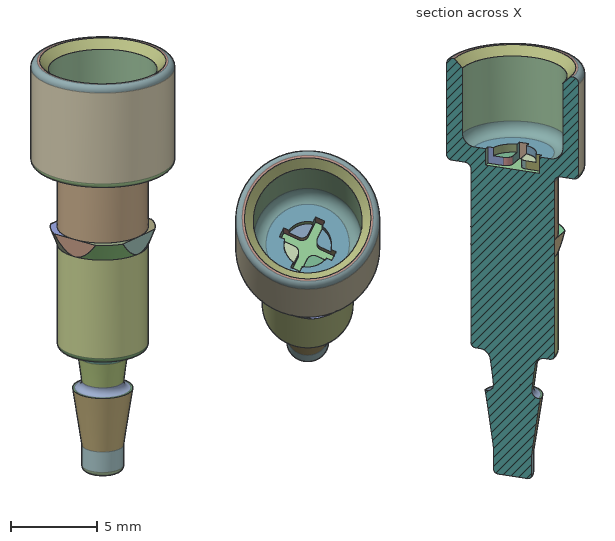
import cadquery as cq
import math

TOTAL_HEIGHT = 25.4
HEAD_BASE_Z = 19.05
COLLAR_TOP_Z = 15.11
COLLAR_BASE_Z = 14.05
SHAFT_BASE_Z = 7.62
BARB_TOP_Z = 5.1
TIP_TOP_Z = 1.57

HEAD_DIAMETER = 8.35
HEAD_RADIUS = HEAD_DIAMETER / 2
SHAFT_RADIUS = 2.65
COLLAR_RADIUS = 3.05
NECK_TOP_RADIUS = 1.5
NECK_BASE_RADIUS = 1.17
BARB_RADIUS = 1.75
TIP_RADIUS = 1.22

RIM_ROUND = 0.38
HEAD_ROUND = 0.33
SHAFT_ROUND = 0.3
HEAD_SHAFT_FILLET = 0.35
SHAFT_NECK_FILLET = 0.6
NECK_BARB_FILLET = 0.4
TIP_ROUND = 0.3

SOCKET_RADIUS = 3.15
SOCKET_DEPTH = 5.28
SOCKET_MOUTH_CHAMFER = 0.5
SOCKET_FLOOR_FILLET = 0.74
SOCKET_FLOOR_Z = TOTAL_HEIGHT - SOCKET_DEPTH

CROSS_LENGTH = 3.35
CROSS_ARM_WIDTH = 0.58
CROSS_CORNER_FILLET = 0.4
CROSS_DEPTH = 1.02
ROUND_RECESS_RADIUS = 1.37
ROUND_RECESS_DEPTH = 0.5


def cylinder(radius, base_z, top_z):
    return cq.Workplane("XY").workplane(offset=base_z).circle(radius).extrude(top_z - base_z)


def cone(base_radius, top_radius, base_z, top_z):
    profile = [(0, base_z), (base_radius, base_z), (top_radius, top_z), (0, top_z)]
    return cq.Workplane("XZ").polyline(profile).close().revolve(360, (0, 0), (0, 1))


class RingSelector(cq.Selector):
    """Selects the circular edges of one radius at one height."""

    TOLERANCE = 0.0003

    def __init__(self, radius, height):
        self.radius = radius
        self.height = height

    def matches(self, edge):
        if edge.geomType() != "CIRCLE":
            return False
        same_radius = math.isclose(edge.radius(), self.radius, abs_tol=self.TOLERANCE)
        same_height = math.isclose(edge.Center().z, self.height, abs_tol=self.TOLERANCE)
        return same_radius and same_height

    def filter(self, edges):
        return [edge for edge in edges if self.matches(edge)]


def make_body():
    """Turned outline: tip, barb, neck, shaft and head, with rounded shoulders."""
    outline = [
        (0, 0),
        (TIP_RADIUS, 0),
        (TIP_RADIUS, TIP_TOP_Z),
        (BARB_RADIUS, BARB_TOP_Z),
        (NECK_BASE_RADIUS, BARB_TOP_Z),
        (NECK_TOP_RADIUS, SHAFT_BASE_Z),
        (SHAFT_RADIUS, SHAFT_BASE_Z),
        (SHAFT_RADIUS, HEAD_BASE_Z),
        (HEAD_RADIUS, HEAD_BASE_Z),
        (HEAD_RADIUS, TOTAL_HEIGHT),
        (0, TOTAL_HEIGHT),
    ]
    body = cq.Workplane("XZ").polyline(outline).close().revolve(360, (0, 0), (0, 1))
    rounded_rings = [
        (TIP_RADIUS, 0, TIP_ROUND),
        (NECK_BASE_RADIUS, BARB_TOP_Z, NECK_BARB_FILLET),
        (NECK_TOP_RADIUS, SHAFT_BASE_Z, SHAFT_NECK_FILLET),
        (SHAFT_RADIUS, SHAFT_BASE_Z, SHAFT_ROUND),
        (SHAFT_RADIUS, HEAD_BASE_Z, HEAD_SHAFT_FILLET),
        (HEAD_RADIUS, HEAD_BASE_Z, HEAD_ROUND),
        (HEAD_RADIUS, TOTAL_HEIGHT, RIM_ROUND),
    ]
    for radius, height, fillet in rounded_rings:
        body = body.edges(RingSelector(radius, height)).fillet(fillet)
    return body


def make_collar():
    """Conical snap collar trimmed flush with the shaft on four sides."""
    flare = cone(SHAFT_RADIUS, COLLAR_RADIUS, COLLAR_BASE_Z, COLLAR_TOP_Z)
    side = 2 * SHAFT_RADIUS
    square = cq.Workplane("XY").workplane(offset=COLLAR_BASE_Z).rect(side, side)
    return flare.intersect(square.extrude(COLLAR_TOP_Z - COLLAR_BASE_Z))


def make_socket():
    """Blind bore with a rounded floor and a chamfered mouth."""
    bore = cylinder(SOCKET_RADIUS, SOCKET_FLOOR_Z, TOTAL_HEIGHT)
    bore = bore.faces("<Z").edges().fillet(SOCKET_FLOOR_FILLET)
    mouth = cone(
        SOCKET_RADIUS,
        SOCKET_RADIUS + SOCKET_MOUTH_CHAMFER,
        TOTAL_HEIGHT - SOCKET_MOUTH_CHAMFER,
        TOTAL_HEIGHT,
    )
    return bore.union(mouth)


def make_cross_recess():
    """Plus-shaped recess with filleted inner corners."""
    recess_base_z = SOCKET_FLOOR_Z - CROSS_DEPTH
    base = cq.Workplane("XY").workplane(offset=recess_base_z)
    arm_x = base.rect(CROSS_LENGTH, CROSS_ARM_WIDTH).extrude(CROSS_DEPTH)
    arm_y = base.rect(CROSS_ARM_WIDTH, CROSS_LENGTH).extrude(CROSS_DEPTH)
    reach = CROSS_ARM_WIDTH
    inner_corners = cq.selectors.BoxSelector(
        (-reach, -reach, recess_base_z), (reach, reach, SOCKET_FLOOR_Z)
    )
    return arm_x.union(arm_y).edges("|Z").edges(inner_corners).fillet(CROSS_CORNER_FILLET)


def make_round_recess():
    """Shallow round recess between the arms of the cross."""
    return cylinder(ROUND_RECESS_RADIUS, SOCKET_FLOOR_Z - ROUND_RECESS_DEPTH, SOCKET_FLOOR_Z)


result = make_body().union(make_collar())
result = result.cut(make_socket())
result = result.cut(make_round_recess())
result = result.cut(make_cross_recess())